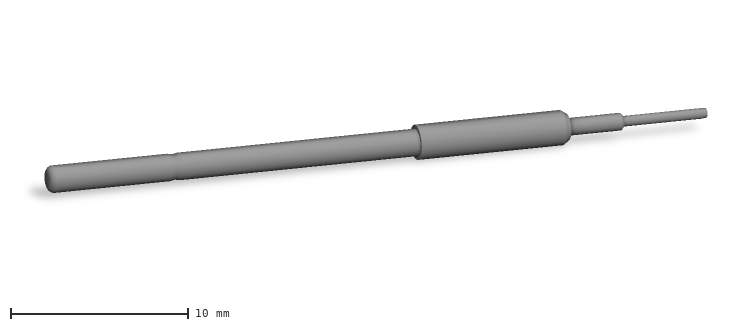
import cadquery as cq
import math

LENGTH = 39.3

TIP_RADIUS = 0.3
COLLAR_RADIUS = 0.5
SLEEVE_RADIUS = 1.0
BARREL_RADIUS = 0.78

TIP_LENGTH = 5.0
COLLAR_LENGTH = 3.3
SLEEVE_LENGTH = 9.0

TIP_CHAMFER = 0.03
TIP_CHAMFER_LENGTH = 0.3
COLLAR_CHAMFER = 0.12
SLEEVE_CHAMFER = 0.22
SLEEVE_CHAMFER_LENGTH = 0.35
BARREL_END_FILLET = 0.36

GROOVE_CENTER = 7.53
GROOVE_WIDTH = 0.6
GROOVE_DEPTH = 0.06

COLLAR_FRONT = LENGTH - TIP_LENGTH
SLEEVE_FRONT = COLLAR_FRONT - COLLAR_LENGTH
SLEEVE_BACK = SLEEVE_FRONT - SLEEVE_LENGTH


def body():
    """Revolve the half profile (radius, Y) about the Y axis."""
    arc_inset = BARREL_END_FILLET * (1 - math.sqrt(0.5))
    end_middle = (BARREL_RADIUS - arc_inset, arc_inset)
    profile = (
        cq.Workplane("XY")
        .lineTo(BARREL_RADIUS - BARREL_END_FILLET, 0)
        .threePointArc(end_middle, (BARREL_RADIUS, BARREL_END_FILLET))
        .lineTo(BARREL_RADIUS, GROOVE_CENTER - GROOVE_WIDTH / 2)
        .lineTo(BARREL_RADIUS - GROOVE_DEPTH, GROOVE_CENTER)
        .lineTo(BARREL_RADIUS, GROOVE_CENTER + GROOVE_WIDTH / 2)
        .lineTo(BARREL_RADIUS, SLEEVE_BACK)
        .lineTo(SLEEVE_RADIUS, SLEEVE_BACK)
        .lineTo(SLEEVE_RADIUS, SLEEVE_FRONT - SLEEVE_CHAMFER_LENGTH)
        .lineTo(SLEEVE_RADIUS - SLEEVE_CHAMFER, SLEEVE_FRONT)
        .lineTo(COLLAR_RADIUS, SLEEVE_FRONT)
        .lineTo(COLLAR_RADIUS, COLLAR_FRONT - COLLAR_CHAMFER)
        .lineTo(COLLAR_RADIUS - COLLAR_CHAMFER, COLLAR_FRONT)
        .lineTo(TIP_RADIUS, COLLAR_FRONT)
        .lineTo(TIP_RADIUS, LENGTH - TIP_CHAMFER_LENGTH)
        .lineTo(TIP_RADIUS - TIP_CHAMFER, LENGTH)
        .lineTo(0, LENGTH)
        .close()
    )
    return profile.revolve(360, (0, 0, 0), (0, 1, 0))


result = body()